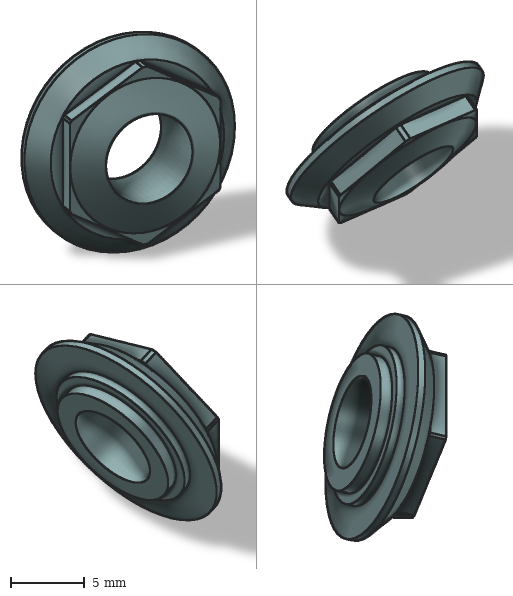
import cadquery as cq
import math

spigot_end = 0.85
shoulder_end = 1.44
rim_end = 1.95
cone_end = 3.21
hex_start = 3.3
hex_end = 4.5
total_length = 5.16

bore_radius = 3.2
spigot_radius = 4.76
shoulder_radius = 5.5
flange_radius = 7.8
cone_small_radius = 6.43
neck_radius = 5.41
dome_base_radius = 5.55
dome_tip_radius = 3.3

side_flat_distance = 5.57
slanted_flat_distance = 5.65
hex_corner_radius = 6.41
slanted_flat_tilt = 60


def disc(start, end, radius):
    """Cylinder on the X axis between two axial positions."""
    return cq.Workplane("YZ", origin=(start, 0, 0)).circle(radius).extrude(end - start)


def flange():
    """Thin cylindrical rim followed by a cone tapering towards the nut."""
    profile = [
        (shoulder_end, 0),
        (shoulder_end, flange_radius),
        (rim_end, flange_radius),
        (cone_end, cone_small_radius),
        (cone_end, 0),
    ]
    return cq.Workplane("XY").polyline(profile).close().revolve(360, (0, 0, 0), (1, 0, 0))


def flat_pair(distance, tilt):
    """Slab with two opposite nut flats, turned by tilt degrees about X from the Y direction."""
    length = hex_end - hex_start
    return (
        cq.Workplane("YZ", origin=(hex_start, 0, 0))
        .rect(2 * distance, 2 * flange_radius)
        .extrude(length)
        .rotate((0, 0, 0), (1, 0, 0), tilt)
    )


def hex_nut():
    """Corner cylinder cut down by three pairs of flats."""
    nut = disc(hex_start, hex_end, hex_corner_radius)
    nut = nut.intersect(flat_pair(side_flat_distance, 0))
    for tilt in (-slanted_flat_tilt, slanted_flat_tilt):
        nut = nut.intersect(flat_pair(slanted_flat_distance, tilt))
    return nut


def dome():
    """Spherical zone on the nut, centred on the X axis and ending in a flat face."""
    height = total_length - hex_end
    centre_depth = (dome_base_radius**2 - dome_tip_radius**2 - height**2) / (2 * height)
    sphere_radius = math.hypot(centre_depth, dome_base_radius)
    middle_radius = (dome_base_radius + dome_tip_radius) / 2
    middle_x = hex_end - centre_depth + math.sqrt(sphere_radius**2 - middle_radius**2)
    return (
        cq.Workplane("XY")
        .moveTo(hex_end, 0)
        .lineTo(hex_end, dome_base_radius)
        .threePointArc((middle_x, middle_radius), (total_length, dome_tip_radius))
        .lineTo(total_length, 0)
        .close()
        .revolve(360, (0, 0, 0), (1, 0, 0))
    )


result = (
    disc(0, spigot_end, spigot_radius)
    .union(disc(spigot_end, shoulder_end, shoulder_radius))
    .union(flange())
    .union(disc(cone_end, hex_start, neck_radius))
    .union(hex_nut())
    .union(dome())
    .cut(disc(0, total_length, bore_radius))
)